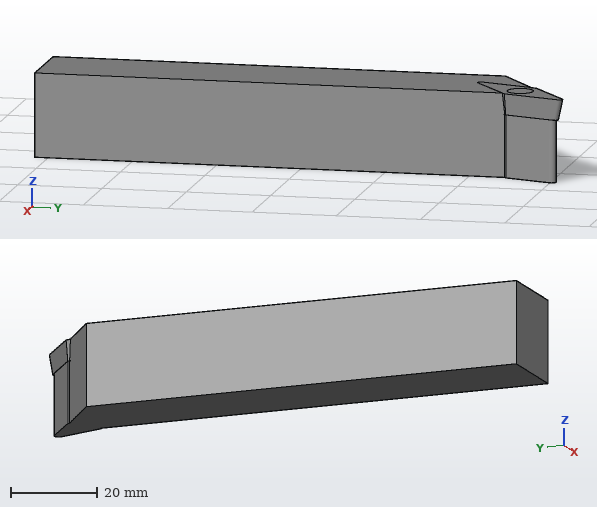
import cadquery as cq
import math

SHANK_SIZE = 20.0
SHANK_LEFT_LENGTH = 107.4
FRONT_SLANT = 36.0

TIP_REACH = 126.3
TOTAL_WIDTH = 25.1
INSERT_HALF_WIDTH = 4.8
INSERT_THICKNESS = 5.0
INSERT_TIP_RADIUS = 0.8
POINT_ANGLE = 35.0
AXIS_ANGLE = 55.0
RELIEF_ANGLE = 5.0

SCREW_HOLE_DIAMETER = 4.4
COUNTERSINK_DIAMETER = 6.0
COUNTERSINK_ANGLE = 90.0

NOSE_TIP_RADIUS = 1.1

half_point = math.radians(POINT_ANGLE / 2)
axis = math.radians(AXIS_ANGLE)
relief_inset = INSERT_THICKNESS * math.tan(math.radians(RELIEF_ANGLE))
nose_half_width = INSERT_HALF_WIDTH - relief_inset

tip_arc_distance = (INSERT_HALF_WIDTH - INSERT_TIP_RADIUS) / math.sin(half_point)
insert_x = TOTAL_WIDTH - INSERT_TIP_RADIUS - tip_arc_distance * math.cos(axis)
insert_y = TIP_REACH - INSERT_TIP_RADIUS - tip_arc_distance * math.sin(axis)


def rhombus_points(half_width):
    """Corners of the rhombus in its own frame, long diagonal along X."""
    tip = half_width / math.sin(half_point)
    blunt = half_width / math.cos(half_point)
    return [(tip, 0), (0, blunt), (-tip, 0), (0, -blunt)]


def place(body, z):
    """Turn a body onto the insert axis and move it to the insert centre."""
    return body.rotate((0, 0, 0), (0, 0, 1), AXIS_ANGLE).translate((insert_x, insert_y, z))


def make_insert():
    body = (
        cq.Workplane("XY")
        .polyline(rhombus_points(INSERT_HALF_WIDTH)).close()
        .extrude(-INSERT_THICKNESS, taper=RELIEF_ANGLE)
    )
    tip_edges = body.edges("(not #Z) and (<X or >X)")
    body = tip_edges.fillet(INSERT_TIP_RADIUS)
    body = body.faces(">Z").workplane(origin=(0, 0, 0)).cskHole(
        SCREW_HOLE_DIAMETER, COUNTERSINK_DIAMETER, COUNTERSINK_ANGLE
    )
    return place(body, SHANK_SIZE)


def make_nose():
    body = (
        cq.Workplane("XY")
        .polyline(rhombus_points(nose_half_width)).close()
        .extrude(SHANK_SIZE)
        .edges("|Z and >X").fillet(NOSE_TIP_RADIUS)
    )
    return place(body, 0)


def make_shank():
    slant_end_y = SHANK_LEFT_LENGTH + insert_x * math.tan(math.radians(FRONT_SLANT))
    outline = [
        (0, 0),
        (SHANK_SIZE, 0),
        (SHANK_SIZE, insert_y),
        (insert_x, slant_end_y),
        (0, SHANK_LEFT_LENGTH),
    ]
    return cq.Workplane("XY").polyline(outline).close().extrude(SHANK_SIZE)


insert = make_insert()

holder = make_shank().union(make_nose()).cut(insert)

result = cq.Compound.makeCompound([holder.val(), insert.val()])